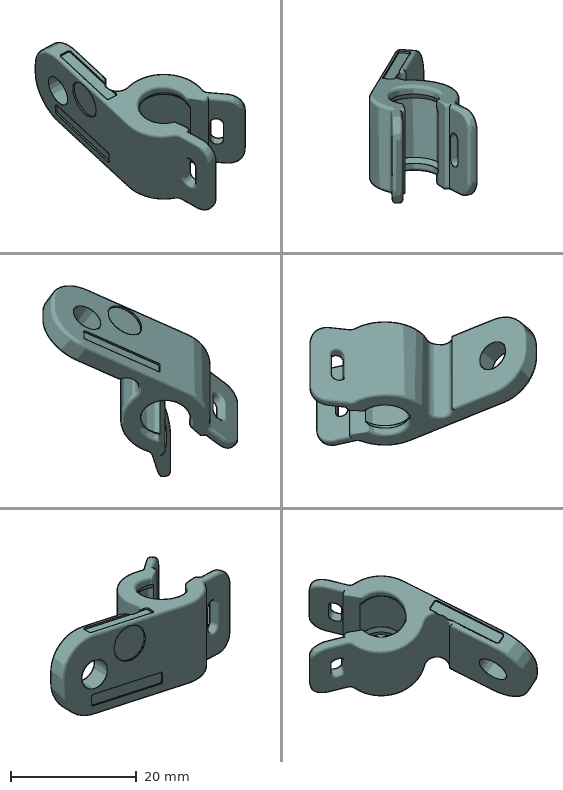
import cadquery as cq
import math

WIDTH = 14.5
EDGE_ROUND = 0.55
LIP_ROUND = 0.23

PLATE_THICKNESS = 3.52
PLATE_CORNER_RADIUS = 6.35
HOLE_DIAMETER = 5.0
AXIS_TO_PLATE_END = 24.8

RING_RADIUS = 7.12
BORE_RADIUS = 3.98
MOUTH_ANGLE = 30
MOUTH_HALF_ANGLE = 45
RELIEF_RADIUS = 2.0
RELIEF_DEPTH = 1.05

LIP_END = (6.45, 1.63)
WING_START = 6.9

WING_FLARE = 16
WING_TIP = 12.65
WING_INNER = 2.15
WING_OUTER = 3.83
WING_ROOT_RADIUS = 1.15
WING_CORNER_RADIUS = 3.0
SLOT_WIDTH = 2.12
SLOT_LENGTH = 5.7
SLOT_TO_TIP = 4.45
SLOT_ROUND = 0.5

UNDERCUT_RADIUS = 4.47
UNDERCUT_RIM = 1.35
UNDERCUT_TAPER = 0.85

RECESS_DEPTH = 0.3
PANEL_CORNER_RADIUS = 0.38
FRONT_PANEL_LENGTH = 14.0
FRONT_PANEL_HEIGHT = 2.05
FRONT_PANEL_CENTER = (-12.05, -4.5)
SIDE_PANEL_LENGTH = 12.65
SIDE_PANEL_HEIGHT = 1.97
SIDE_PANEL_CENTER = (-12.55, -5.53)
DIAL_DIAMETER = 6.15
DIAL_CENTER = (-11.5, 3.5)

PLATE_END = -AXIS_TO_PLATE_END
PLATE_FRONT = -RING_RADIUS
PLATE_BACK = PLATE_FRONT + PLATE_THICKNESS


def polar(radius, degrees):
    angle = math.radians(degrees)
    return radius * math.cos(angle), radius * math.sin(angle)


def wing_point(along, outward, side):
    """Point in the frame of a wing; side is +1 for the upper wing, -1 for the lower one."""
    dx, dy = polar(1, MOUTH_ANGLE + side * WING_FLARE)
    return along * dx - side * outward * dy, along * dy + side * outward * dx


ROOT_OFFSET = WING_OUTER + WING_ROOT_RADIUS
ROOT_REACH = RING_RADIUS + WING_ROOT_RADIUS
ROOT_ALONG = math.sqrt(ROOT_REACH**2 - ROOT_OFFSET**2)
ROOT_TOUCH_RATIO = RING_RADIUS / ROOT_REACH

RELIEF_Y = PLATE_BACK - RELIEF_DEPTH + RELIEF_RADIUS
RELIEF_X = -math.sqrt((RING_RADIUS + RELIEF_RADIUS) ** 2 - RELIEF_Y**2)
RELIEF_TOUCH_RATIO = RING_RADIUS / (RING_RADIUS + RELIEF_RADIUS)
RELIEF_TOUCH = (RELIEF_X * RELIEF_TOUCH_RATIO, RELIEF_Y * RELIEF_TOUCH_RATIO)
RELIEF_RISE = RELIEF_RADIUS - RELIEF_DEPTH
RELIEF_EDGE = (RELIEF_X - math.sqrt(RELIEF_RADIUS**2 - RELIEF_RISE**2), PLATE_BACK)


def profile():
    def ring_touch(side):
        return wing_point(ROOT_ALONG * ROOT_TOUCH_RATIO, ROOT_OFFSET * ROOT_TOUCH_RATIO, side)

    def root_middle(side):
        center_x, center_y = wing_point(ROOT_ALONG, ROOT_OFFSET, side)
        start_x, start_y = ring_touch(side)
        end_x, end_y = wing_point(ROOT_ALONG, WING_OUTER, side)
        mid_x = (start_x + end_x) / 2 - center_x
        mid_y = (start_y + end_y) / 2 - center_y
        scale = WING_ROOT_RADIUS / math.hypot(mid_x, mid_y)
        return center_x + mid_x * scale, center_y + mid_y * scale

    return (
        cq.Workplane("XY").workplane(offset=-WIDTH / 2)
        .moveTo(PLATE_END, PLATE_FRONT)
        .lineTo(0, PLATE_FRONT)
        .threePointArc(polar(RING_RADIUS, -60), ring_touch(-1))
        .threePointArc(root_middle(-1), wing_point(ROOT_ALONG, WING_OUTER, -1))
        .lineTo(*wing_point(WING_TIP, WING_OUTER, -1))
        .lineTo(*wing_point(WING_TIP, WING_INNER, -1))
        .lineTo(*wing_point(WING_START, WING_INNER, -1))
        .lineTo(*wing_point(*LIP_END, -1))
        .lineTo(*polar(BORE_RADIUS, MOUTH_ANGLE - MOUTH_HALF_ANGLE))
        .threePointArc(
            polar(BORE_RADIUS, MOUTH_ANGLE + 180),
            polar(BORE_RADIUS, MOUTH_ANGLE + MOUTH_HALF_ANGLE),
        )
        .lineTo(*wing_point(*LIP_END, 1))
        .lineTo(*wing_point(WING_START, WING_INNER, 1))
        .lineTo(*wing_point(WING_TIP, WING_INNER, 1))
        .lineTo(*wing_point(WING_TIP, WING_OUTER, 1))
        .lineTo(*wing_point(ROOT_ALONG, WING_OUTER, 1))
        .threePointArc(root_middle(1), ring_touch(1))
        .threePointArc(polar(RING_RADIUS, 150), RELIEF_TOUCH)
        .threePointArc((RELIEF_X, RELIEF_Y - RELIEF_RADIUS), RELIEF_EDGE)
        .lineTo(PLATE_END, PLATE_BACK)
        .close()
    )


def nearest(point):
    return cq.selectors.NearestToPointSelector(point)


def round_outline_corners(body):
    """Round the plate end and the wing tips as seen square to their broad faces."""
    wing_middle = (WING_INNER + WING_OUTER) / 2
    plate_middle = (PLATE_FRONT + PLATE_BACK) / 2
    for z in (-WIDTH / 2, WIDTH / 2):
        for side in (-1, 1):
            tip = wing_point(WING_TIP, wing_middle, side)
            body = body.edges(nearest((*tip, z))).fillet(WING_CORNER_RADIUS)
        body = body.edges(nearest((PLATE_END, plate_middle, z))).fillet(PLATE_CORNER_RADIUS)
    return body


def is_lip_edge(edge):
    middle = edge.Center()
    return any(
        math.dist((middle.x, middle.y), lip_middle(side)) < LIP_ROUND for side in (-1, 1)
    )


def lip_middle(side):
    start_x, start_y = polar(BORE_RADIUS, MOUTH_ANGLE + side * MOUTH_HALF_ANGLE)
    end_x, end_y = wing_point(*LIP_END, side)
    return (start_x + end_x) / 2, (start_y + end_y) / 2


def round_rims(body):
    """Round both side rims; the rounds run on around the plate end and the wing tips."""
    edges = body.faces("<Z or >Z").edges().vals()
    other_edges = [edge for edge in edges if not is_lip_edge(edge)]
    return body.newObject(other_edges).fillet(EDGE_ROUND)


def round_lips(body):
    for side in (-1, 1):
        lip_face = body.faces(nearest((*lip_middle(side), 0)))
        body = lip_face.edges().fillet(LIP_ROUND)
    return body


def cut_slot(body, side):
    """Cut the tie slot through a wing and round its mouth on the outer face."""
    along = WING_TIP - SLOT_TO_TIP
    start_x, start_y = wing_point(along, WING_INNER, side)
    end_x, end_y = wing_point(along, WING_OUTER, side)
    through = (end_x - start_x, end_y - start_y, 0)
    plane = cq.Plane(origin=(start_x, start_y, 0), xDir=(0, 0, 1), normal=through)
    cutter = cq.Workplane(plane).slot2D(SLOT_LENGTH, SLOT_WIDTH).extrude(WING_OUTER - WING_INNER)
    body = body.cut(cutter)
    mouth_edge = wing_point(along + SLOT_WIDTH / 2, WING_OUTER, side)
    return body.edges(nearest((*mouth_edge, 0))).fillet(SLOT_ROUND)


def bore_undercut():
    full_z = WIDTH / 2 - UNDERCUT_RIM - UNDERCUT_TAPER
    rim_z = WIDTH / 2 - UNDERCUT_RIM
    return (
        cq.Workplane("XZ")
        .moveTo(0, -rim_z)
        .lineTo(BORE_RADIUS, -rim_z)
        .lineTo(UNDERCUT_RADIUS, -full_z)
        .lineTo(UNDERCUT_RADIUS, full_z)
        .lineTo(BORE_RADIUS, rim_z)
        .lineTo(0, rim_z)
        .close()
        .revolve(360, (0, 0, 0), (0, 1, 0))
    )


def front_plane():
    """Plane on the front of the plate, facing outward, with its local y along Z of the part."""
    return cq.Workplane(cq.Plane(origin=(0, PLATE_FRONT, 0), xDir=(1, 0, 0), normal=(0, -1, 0)))


def panel(plane, center, length, height):
    return (
        plane.center(*center).rect(length, height).extrude(-RECESS_DEPTH)
        .edges(cq.selectors.ParallelDirSelector(plane.plane.zDir)).fillet(PANEL_CORNER_RADIUS)
    )


result = round_lips(round_rims(round_outline_corners(profile().extrude(WIDTH))))
for wing_side in (-1, 1):
    result = cut_slot(result, wing_side)
result = result.cut(bore_undercut())

hole_center = (PLATE_END + PLATE_CORNER_RADIUS, 0)
result = result.cut(front_plane().center(*hole_center).circle(HOLE_DIAMETER / 2).extrude(-PLATE_THICKNESS))

side_plane = cq.Workplane("XY", origin=(0, 0, WIDTH / 2))
result = result.cut(panel(front_plane(), FRONT_PANEL_CENTER, FRONT_PANEL_LENGTH, FRONT_PANEL_HEIGHT))
result = result.cut(panel(side_plane, SIDE_PANEL_CENTER, SIDE_PANEL_LENGTH, SIDE_PANEL_HEIGHT))
result = result.cut(front_plane().center(*DIAL_CENTER).circle(DIAL_DIAMETER / 2).extrude(-RECESS_DEPTH))